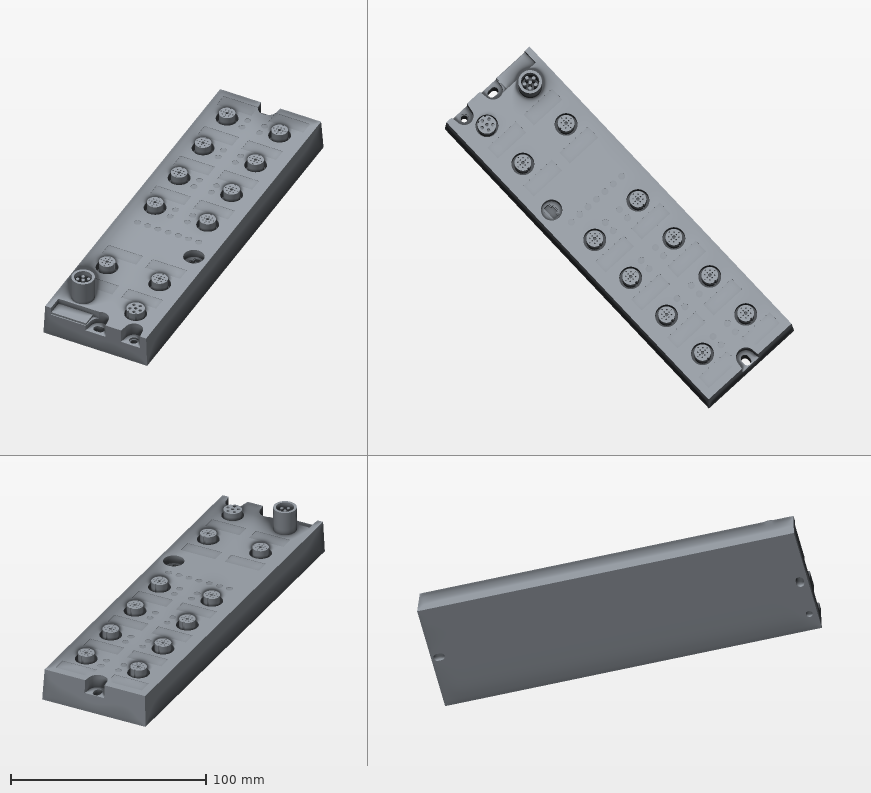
import cadquery as cq
import math

LENGTH = 199.0
WIDTH = 59.7
DECK_Z = 17.5
TOTAL_HEIGHT = 30.6
SIDE_DRAFT = 0.8
BACK_DRAFT = 1.2
FRONT_DRAFT = 0.4

PORT_X = 15.1
PORT_PITCH = 27.0
FIRST_PORT_Y = 78.8
PORT_ROWS_Y = [FIRST_PORT_Y - row * PORT_PITCH for row in range(7)]
SIGNAL_ROWS_Y = PORT_ROWS_Y[:4]
NETWORK_ROW_Y = PORT_ROWS_Y[5]
POWER_ROW_Y = PORT_ROWS_Y[6]

WELL_DIAMETER = 11.7
WELL_DEPTH = 4.5
PLUG_TOP_Z = 21.0
PLUG_DIAMETER = 8.5
POWER_PLUG_DIAMETER = 9.5
KEYWAY_WIDTH = 1.0
KEYWAY_DEPTH = 0.5
KEY_TO_BACK = 90
KEY_TO_MIDDLE = 0
POWER_KEYS = (-60, -120)
CONTACT_PITCH = 1.8
CONTACT_DIAMETER = 0.8
CENTRE_CONTACT_DIAMETER = 1.8
CONTACT_DEPTH = 2.0
RIM_HOLE_RADIUS = 3.4

POWER_CONTACTS = 5
POWER_CONTACT_RADIUS = 3.0
POWER_CONTACT_DIAMETER = 1.8
SOCKET_START_ANGLE = 135
PIN_START_ANGLE = 45

SHELL_DIAMETER = 12.1
SHELL_BORE = 9.3
PIN_SETBACK = 2.0
PIN_TOP_Z = TOTAL_HEIGHT - PIN_SETBACK

INSET_DEPTH = 0.2
LABEL_LENGTH = 19.9
LABEL_WIDTH = 7.8
LABEL_GAP = 5.4
LABEL_X = (LABEL_GAP + LABEL_LENGTH) / 2
LABEL_ABOVE_PORT = 12.3
END_LABEL_X = 15.0
END_LABEL_Y = 90.1
LENS_DIAMETER = 3.5
LENS_X = 5.0
LENS_OFFSET_Y = 3.0
STATUS_LENSES = 7
STATUS_SPAN = 35.2
STATUS_PITCH = STATUS_SPAN / (STATUS_LENSES - 1)
STATUS_Y = -17.3

NOTCH_FLOOR_Z = 10.1
NOTCH_Y = 95.3
NOTCH_RADIUS = 5.2
NOTCH_MOUTH = 11.5
GROUND_X = 20.0
GROUND_NOTCH_RADIUS = 4.8
GROUND_NOTCH_MOUTH = 11.1
SLOT_WIDTH = 4.2
SLOT_LENGTH = 6.0
GROUND_HOLE_DIAMETER = 3.5
GROUND_BORE_DIAMETER = 5.0
GROUND_BORE_DEPTH = 1.0

POCKET_LEFT_X = -25.7
POCKET_BACK_Y = -90.7
POCKET_FLOOR_Z = 13.1
PLATE_THICKNESS = 1.2
PLATE_FRONT_Y = -98.7

SERVICE_X = 20.7
SERVICE_Y = -28.8
SERVICE_WELL_DIAMETER = 11.0
SERVICE_DEPTH = 2.0
SERVICE_RIM_DEPTH = 0.4
SERVICE_RIM_WIDTH = 0.5
SERVICE_LEFT = -2.4
SERVICE_STEP = -1.2
SERVICE_RIGHT = 1.8
SERVICE_LENGTH = 8.0
SERVICE_NARROW_LENGTH = 3.8
LATCH_X = 3.0
LATCH_WIDTH = 0.4
LATCH_LENGTH = 4.0


def cylinder(x, y, z_low, z_high, diameter):
    """Upright round bar between two heights."""
    return cq.Workplane("XY", origin=(x, y, z_low)).circle(diameter / 2).extrude(z_high - z_low)


def block(x_low, x_high, y_low, y_high, z_low, z_high):
    """Axis-aligned block given by its limits."""
    return cq.Workplane("XY", origin=(x_low, y_low, z_low)).box(
        x_high - x_low, y_high - y_low, z_high - z_low, centered=False
    )


def housing():
    """Block whose four sides lean inward towards the deck."""
    deck_length = LENGTH - FRONT_DRAFT - BACK_DRAFT
    return (
        cq.Workplane("XY")
        .rect(WIDTH, LENGTH)
        .workplane(offset=DECK_Z)
        .center(0, (FRONT_DRAFT - BACK_DRAFT) / 2)
        .rect(WIDTH - 2 * SIDE_DRAFT, deck_length)
        .loft(ruled=True)
    )


def end_notch(x, end, radius, mouth):
    """Round-bottomed notch that widens to the end face (end is +1 or -1)."""
    centre_y = end * NOTCH_Y
    mouth_y = end * LENGTH / 2
    return (
        cq.Workplane("XY", origin=(0, 0, NOTCH_FLOOR_Z))
        .moveTo(x - mouth / 2, mouth_y)
        .lineTo(x - radius, centre_y)
        .threePointArc((x, centre_y - end * radius), (x + radius, centre_y))
        .lineTo(x + mouth / 2, mouth_y)
        .close()
        .extrude(DECK_Z)
    )


def mounting_slot(end, angle):
    """Through slot in the floor of a middle notch."""
    return (
        cq.Workplane("XY")
        .center(0, end * NOTCH_Y)
        .slot2D(SLOT_LENGTH, SLOT_WIDTH, angle)
        .extrude(DECK_Z)
    )


def label_inset(x, y):
    """Shallow rectangular recess in the deck."""
    return (
        cq.Workplane("XY", origin=(x, y, DECK_Z - INSET_DEPTH))
        .rect(LABEL_LENGTH, LABEL_WIDTH)
        .extrude(INSET_DEPTH)
    )


def lens_inset(x, y):
    """Shallow round recess in the deck."""
    return cylinder(x, y, DECK_Z - INSET_DEPTH, DECK_Z, LENS_DIAMETER)


def keyed_plug(x, y, diameter, key_angles):
    """Plug standing in its well, with a keyway down its side at each angle."""
    base_z = DECK_Z - WELL_DEPTH
    plug = cylinder(x, y, base_z, PLUG_TOP_Z, diameter)
    for angle in key_angles:
        keyway = (
            cq.Workplane("XY")
            .center(diameter / 2, 0)
            .rect(2 * KEYWAY_DEPTH, KEYWAY_WIDTH)
            .extrude(PLUG_TOP_Z - base_z)
            .rotate((0, 0, 0), (0, 0, 1), angle)
            .translate((x, y, base_z))
        )
        plug = plug.cut(keyway)
    return plug


def power_points(start_angle):
    """Places of the power contacts about the connector axis."""
    points = [(0, 0)]
    for index in range(POWER_CONTACTS):
        angle = math.radians(start_angle + index * 360 / POWER_CONTACTS)
        points.append((POWER_CONTACT_RADIUS * math.cos(angle), POWER_CONTACT_RADIUS * math.sin(angle)))
    return points


def signal_plug(x, y, key_angle):
    """Plug with a wide middle hole, eight small ones in a square and three more near the rim."""
    top = cq.Workplane("XY", origin=(x, y, PLUG_TOP_Z))
    steps = (-CONTACT_PITCH, 0, CONTACT_PITCH)
    around = [(dx, dy) for dx in steps for dy in steps if (dx, dy) != (0, 0)]
    for quarter in (90, 180, 270):
        angle = math.radians(key_angle + quarter)
        around.append((RIM_HOLE_RADIUS * math.cos(angle), RIM_HOLE_RADIUS * math.sin(angle)))
    small_holes = top.pushPoints(around).circle(CONTACT_DIAMETER / 2).extrude(-CONTACT_DEPTH)
    middle_hole = top.circle(CENTRE_CONTACT_DIAMETER / 2).extrude(-CONTACT_DEPTH)
    return keyed_plug(x, y, PLUG_DIAMETER, [key_angle]).cut(small_holes).cut(middle_hole)


def power_socket(x, y):
    """Wider plug with six contact holes."""
    holes = (
        cq.Workplane("XY", origin=(x, y, PLUG_TOP_Z))
        .pushPoints(power_points(SOCKET_START_ANGLE))
        .circle(POWER_CONTACT_DIAMETER / 2)
        .extrude(-CONTACT_DEPTH)
    )
    return keyed_plug(x, y, POWER_PLUG_DIAMETER, POWER_KEYS).cut(holes)


def power_inlet(x, y):
    """Tall hollow shell on the deck with six pins inside."""
    shell = cylinder(x, y, DECK_Z, TOTAL_HEIGHT, SHELL_DIAMETER)
    shell = shell.cut(cylinder(x, y, DECK_Z, TOTAL_HEIGHT, SHELL_BORE))
    pins = (
        cq.Workplane("XY", origin=(x, y, DECK_Z))
        .pushPoints(power_points(PIN_START_ANGLE))
        .circle(POWER_CONTACT_DIAMETER / 2)
        .extrude(PIN_TOP_Z - DECK_Z)
    )
    return shell.union(pins)


def service_opening(left, step, depth):
    """Opening in the service well floor, narrower on its left side."""
    half = SERVICE_LENGTH / 2
    narrow = SERVICE_NARROW_LENGTH / 2
    outline = [
        (SERVICE_RIGHT, -half),
        (SERVICE_RIGHT, half),
        (step, half),
        (step, narrow),
        (left, narrow),
        (left, -narrow),
        (step, -narrow),
        (step, -half),
    ]
    floor = cq.Workplane("XY", origin=(SERVICE_X, SERVICE_Y, DECK_Z - WELL_DEPTH))
    return floor.polyline(outline).close().extrude(-depth)


def service_port():
    """Round well, stepped opening and latch slit, as one volume to remove."""
    floor_z = DECK_Z - WELL_DEPTH
    well = cylinder(SERVICE_X, SERVICE_Y, floor_z, DECK_Z, SERVICE_WELL_DIAMETER)
    opening = service_opening(SERVICE_LEFT, SERVICE_STEP, SERVICE_DEPTH)
    rim_left = SERVICE_LEFT - SERVICE_RIM_WIDTH
    rim_step = SERVICE_STEP - SERVICE_RIM_WIDTH
    rim = service_opening(rim_left, rim_step, SERVICE_RIM_DEPTH)
    latch = (
        cq.Workplane("XY", origin=(SERVICE_X + LATCH_X, SERVICE_Y, floor_z))
        .rect(LATCH_WIDTH, LATCH_LENGTH)
        .extrude(-SERVICE_RIM_DEPTH)
    )
    return well.union(opening).union(rim).union(latch)


body = housing()

plate_right_x = POCKET_LEFT_X + LABEL_LENGTH
plate_top_z = POCKET_FLOOR_Z + PLATE_THICKNESS
body = body.cut(block(POCKET_LEFT_X, 0, -LENGTH / 2, POCKET_BACK_Y, POCKET_FLOOR_Z, DECK_Z))
label_plate = block(
    POCKET_LEFT_X, plate_right_x, PLATE_FRONT_Y, POCKET_BACK_Y, POCKET_FLOOR_Z, plate_top_z
)
body = body.union(label_plate)

body = body.cut(end_notch(0, 1, NOTCH_RADIUS, NOTCH_MOUTH)).cut(mounting_slot(1, 90))
body = body.cut(end_notch(0, -1, NOTCH_RADIUS, NOTCH_MOUTH)).cut(mounting_slot(-1, 0))

ground_bore_z = NOTCH_FLOOR_Z - GROUND_BORE_DEPTH
body = body.cut(end_notch(GROUND_X, -1, GROUND_NOTCH_RADIUS, GROUND_NOTCH_MOUTH))
body = body.cut(cylinder(GROUND_X, -NOTCH_Y, 0, NOTCH_FLOOR_Z, GROUND_HOLE_DIAMETER))
body = body.cut(cylinder(GROUND_X, -NOTCH_Y, ground_bore_z, NOTCH_FLOOR_Z, GROUND_BORE_DIAMETER))

labelled_rows = SIGNAL_ROWS_Y[1:] + [NETWORK_ROW_Y, POWER_ROW_Y]
for side in (-1, 1):
    body = body.cut(label_inset(side * END_LABEL_X, END_LABEL_Y))
    for row_y in labelled_rows:
        body = body.cut(label_inset(side * LABEL_X, row_y + LABEL_ABOVE_PORT))

for row_y in SIGNAL_ROWS_Y:
    for side in (-1, 1):
        for step in (-1, 1):
            body = body.cut(lens_inset(side * LENS_X, row_y + step * LENS_OFFSET_Y))
for index in range(STATUS_LENSES):
    lens_x = index * STATUS_PITCH - STATUS_SPAN / 2
    body = body.cut(lens_inset(lens_x, STATUS_Y))

body = body.cut(service_port())

signal_ports = [(side * PORT_X, row_y, KEY_TO_BACK) for row_y in SIGNAL_ROWS_Y for side in (-1, 1)]
network_ports = [(-PORT_X, NETWORK_ROW_Y, KEY_TO_MIDDLE), (PORT_X, NETWORK_ROW_Y, KEY_TO_BACK)]
for x, y, key_angle in signal_ports + network_ports:
    body = body.cut(cylinder(x, y, DECK_Z - WELL_DEPTH, DECK_Z, WELL_DIAMETER))
    body = body.union(signal_plug(x, y, key_angle))
body = body.cut(cylinder(PORT_X, POWER_ROW_Y, DECK_Z - WELL_DEPTH, DECK_Z, WELL_DIAMETER))
body = body.union(power_socket(PORT_X, POWER_ROW_Y))
body = body.union(power_inlet(-PORT_X, POWER_ROW_Y))

result = body